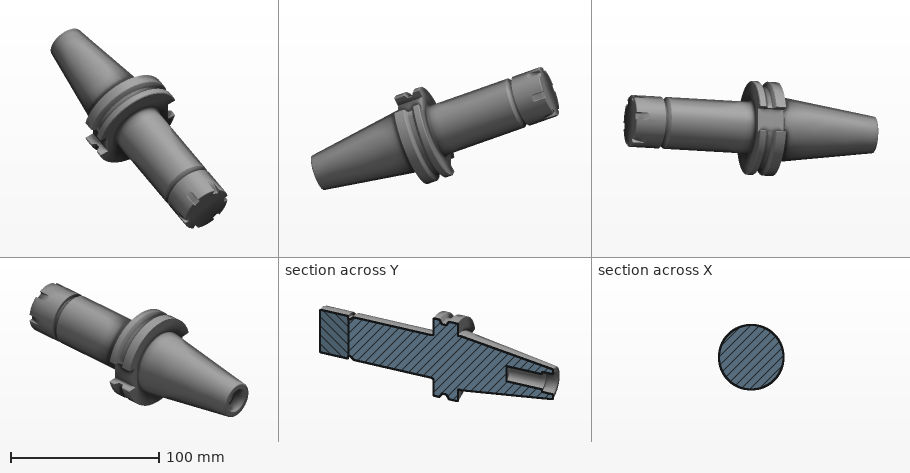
import cadquery as cq
import math

total_length = 170.2

gauge_x = 68.4
gauge_radius = 22.3
taper_slope = 7 / 24 / 2
small_end_radius = gauge_radius - gauge_x * taper_slope
small_end_fillet = 1.0
relief_depth = 0.3
relief_radius = gauge_radius - relief_depth

flange_front_x = 69.5
flange_back_x = 87.5
flange_diameter = 63.5
flange_radius = flange_diameter / 2
flange_back_chamfer = 0.5
groove_center_x = 79.6
groove_radius = 28.5
groove_bottom_half_width = 1.5
groove_flank_angle = 30
groove_edge_break = 0.5
drive_slot_width = 16.2
drive_slot_floor = 24.3
drive_slot_edge_break = 0.5

shank_radius = 17.5
shank_fillet = 1.5
neck_radius = 15.1
shank_end_x = 145.7
nut_start_x = 149.6

bore_radius = 8.0
bore_depth = 8.0
bore_chamfer = 0.5
inner_bore_radius = 6.0
inner_bore_depth = 34.0

nut_radius = 17.5
nut_start_chamfer = 0.2
nut_end_fillet = 0.7
wrench_slot_count = 6
wrench_slot_width = 4.8
wrench_slot_length = 8.8
wrench_slot_end_depth = 3.2
wrench_slot_fillet = 0.7
wrench_slot_overrun = 1.7


def revolve_about_x(outline):
    """Solid of revolution from an (x, radius) outline drawn in the XZ plane."""
    return outline.close().revolve(360, (0, 0, 0), (1, 0, 0))


def make_holder_blank():
    """Taper, flange and shank as one turned solid."""
    shank_chamfer = shank_radius - neck_radius
    outline = (
        cq.Workplane("XZ")
        .moveTo(0, 0)
        .lineTo(0, small_end_radius)
        .lineTo(gauge_x, gauge_radius)
        .lineTo(gauge_x, relief_radius)
        .lineTo(flange_front_x, relief_radius)
        .lineTo(flange_front_x, flange_radius)
        .lineTo(flange_back_x - flange_back_chamfer, flange_radius)
        .lineTo(flange_back_x, flange_radius - flange_back_chamfer)
        .lineTo(flange_back_x, shank_radius + shank_fillet)
        .radiusArc((flange_back_x + shank_fillet, shank_radius), -shank_fillet)
        .lineTo(shank_end_x, shank_radius)
        .lineTo(shank_end_x + shank_chamfer, neck_radius)
        .lineTo(nut_start_x, neck_radius)
        .lineTo(nut_start_x, 0)
    )
    return revolve_about_x(outline).faces("<X").edges().fillet(small_end_fillet)


def make_v_groove():
    """Ring cut from the flange rim: 60 degree V with a flat bottom and broken outer edges."""
    break_radius = flange_radius - groove_edge_break
    flank_run = (break_radius - groove_radius) * math.tan(math.radians(groove_flank_angle))
    break_half_width = groove_bottom_half_width + flank_run
    top_half_width = break_half_width + groove_edge_break
    outline = (
        cq.Workplane("XZ")
        .moveTo(groove_center_x - top_half_width, flange_radius)
        .lineTo(groove_center_x - break_half_width, break_radius)
        .lineTo(groove_center_x - groove_bottom_half_width, groove_radius)
        .lineTo(groove_center_x + groove_bottom_half_width, groove_radius)
        .lineTo(groove_center_x + break_half_width, break_radius)
        .lineTo(groove_center_x + top_half_width, flange_radius)
    )
    return revolve_about_x(outline)


def make_drive_slot(side):
    """Slot through the flange on the +Y (side = 1) or -Y (side = -1) rim, flared at its mouth."""
    half_width = drive_slot_width / 2
    mouth_half_width = half_width + drive_slot_edge_break
    mouth_y = math.sqrt(flange_radius**2 - mouth_half_width**2)
    flare_start_y = mouth_y - drive_slot_edge_break
    return (
        cq.Workplane("YZ", origin=(flange_front_x, 0, 0))
        .moveTo(side * drive_slot_floor, -half_width)
        .lineTo(side * flare_start_y, -half_width)
        .lineTo(side * mouth_y, -mouth_half_width)
        .lineTo(side * flange_radius, -mouth_half_width)
        .lineTo(side * flange_radius, mouth_half_width)
        .lineTo(side * mouth_y, mouth_half_width)
        .lineTo(side * flare_start_y, half_width)
        .lineTo(side * drive_slot_floor, half_width)
        .close()
        .extrude(flange_back_x - flange_front_x)
    )


def make_bore():
    """Chamfered counterbore followed by a narrower blind hole."""
    outline = (
        cq.Workplane("XZ")
        .moveTo(0, 0)
        .lineTo(0, bore_radius + bore_chamfer)
        .lineTo(bore_chamfer, bore_radius)
        .lineTo(bore_depth, bore_radius)
        .lineTo(bore_depth, inner_bore_radius)
        .lineTo(inner_bore_depth, inner_bore_radius)
        .lineTo(inner_bore_depth, 0)
    )
    return revolve_about_x(outline)


def make_holder():
    holder = make_holder_blank().cut(make_v_groove()).cut(make_bore())
    for side in (-1, 1):
        holder = holder.cut(make_drive_slot(side))
    return holder


def make_wrench_slot():
    """Cutter for the -Y wrench slot: its floor runs from the rim down to full depth at the free end."""
    slot_start_x = total_length - wrench_slot_length
    floor_slope = wrench_slot_end_depth / wrench_slot_length
    overrun = wrench_slot_overrun
    cutter_end_y = -nut_radius + wrench_slot_end_depth + overrun * floor_slope
    floor_middle_x = total_length - wrench_slot_length / 2
    floor_middle_y = -nut_radius + wrench_slot_end_depth / 2
    return (
        cq.Workplane("XY")
        .moveTo(slot_start_x - overrun, -nut_radius - overrun * floor_slope)
        .lineTo(total_length + overrun, cutter_end_y)
        .lineTo(total_length + overrun, -nut_radius - overrun)
        .lineTo(slot_start_x - overrun, -nut_radius - overrun)
        .close()
        .extrude(wrench_slot_width / 2, both=True)
        .faces(cq.selectors.NearestToPointSelector((floor_middle_x, floor_middle_y, 0)))
        .edges(">Z or <Z")
        .fillet(wrench_slot_fillet)
    )


def make_nut():
    outline = (
        cq.Workplane("XZ")
        .moveTo(nut_start_x, 0)
        .lineTo(nut_start_x, nut_radius)
        .lineTo(total_length, nut_radius)
        .lineTo(total_length, 0)
    )
    nut = revolve_about_x(outline)
    nut = nut.faces("<X").edges().chamfer(nut_start_chamfer)
    nut = nut.faces(">X").edges().fillet(nut_end_fillet)
    wrench_slot = make_wrench_slot()
    for index in range(wrench_slot_count):
        angle = index * 360 / wrench_slot_count
        nut = nut.cut(wrench_slot.rotate((0, 0, 0), (1, 0, 0), angle))
    return nut


holder = make_holder()
nut = make_nut()

result = cq.Compound.makeCompound([holder.val(), nut.val()])